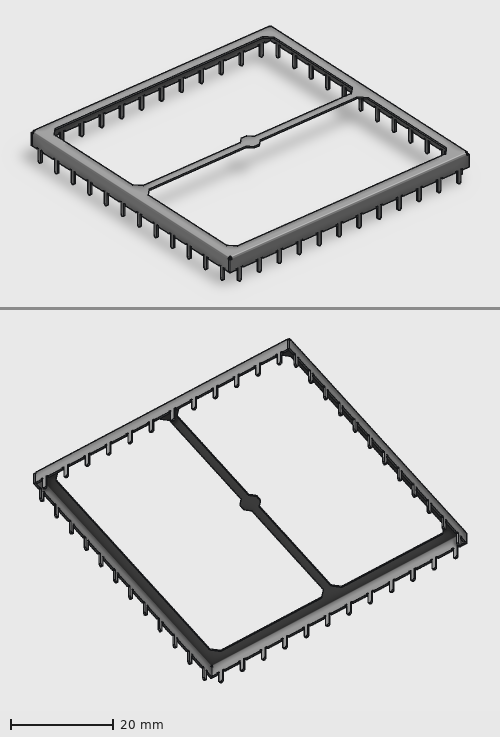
import cadquery as cq
import math

SIDE = 61.0
HEIGHT = 6.4
SHEET = 0.4
BEND_RADIUS = 0.55
INNER_BEND_RADIUS = BEND_RADIUS - SHEET
HALF = SIDE / 2

RIM_WIDTH = 2.5
BAR_WIDTH = 1.75
WINDOW_CHAMFER = 1.5
PAD_WIDTH = 3.95
PAD_CHAMFER = 1.3

WALL_DEPTH = 3.5
PIN_COUNT = 12
PIN_PITCH = SIDE / PIN_COUNT
PIN_WIDTH = 0.85
PIN_TIP_CHAMFER = 0.3
RELIEF_WIDTH = 0.35
RELIEF_DEPTH = 0.25
CORNER_GAP = 0.05

WALL_BOTTOM = HEIGHT - WALL_DEPTH
WALL_TOP = HEIGHT - BEND_RADIUS
PLATE_SIDE = SIDE - 2 * BEND_RADIUS
LONG_WALL = SIDE
SHORT_WALL = SIDE - 2 * (SHEET + CORNER_GAP)


def make_plate():
    """Flat top sheet with two windows, a middle bar and a pick-up pad."""
    plate = cq.Workplane("XY").box(PLATE_SIDE, PLATE_SIDE, SHEET, centered=(True, True, False))
    window_length = SIDE - 2 * RIM_WIDTH
    window_width = (window_length - BAR_WIDTH) / 2
    window_offset = (window_width + BAR_WIDTH) / 2
    windows = (
        cq.Workplane("XY")
        .pushPoints([(-window_offset, 0), (window_offset, 0)])
        .rect(window_width, window_length)
        .extrude(SHEET)
        .edges("|Z")
        .chamfer(WINDOW_CHAMFER)
    )
    pad = cq.Workplane("XY").rect(PAD_WIDTH, PAD_WIDTH).extrude(SHEET).edges("|Z").chamfer(PAD_CHAMFER)
    return plate.cut(windows).union(pad).translate((0, 0, HEIGHT - SHEET))


def make_bend():
    """Quarter-round fold along the -Y edge, as long as the flat plate."""
    centre_y = -HALF + BEND_RADIUS
    diagonal = math.sqrt(0.5)
    outer_mid = (centre_y - BEND_RADIUS * diagonal, WALL_TOP + BEND_RADIUS * diagonal)
    inner_mid = (centre_y - INNER_BEND_RADIUS * diagonal, WALL_TOP + INNER_BEND_RADIUS * diagonal)
    return (
        cq.Workplane("YZ")
        .moveTo(-HALF, WALL_TOP)
        .threePointArc(outer_mid, (centre_y, HEIGHT))
        .lineTo(centre_y, HEIGHT - SHEET)
        .threePointArc(inner_mid, (-HALF + SHEET, WALL_TOP))
        .close()
        .extrude(PLATE_SIDE / 2, both=True)
    )


def make_wall(length):
    """Upright wall on the -Y side with its row of pins."""
    half_pin = PIN_WIDTH / 2
    half_relief = half_pin + RELIEF_WIDTH
    half_tip = half_pin - PIN_TIP_CHAMFER
    relief_top = WALL_BOTTOM + RELIEF_DEPTH
    outline = [(-length / 2, WALL_TOP), (-length / 2, WALL_BOTTOM)]
    for index in range(PIN_COUNT):
        x = (index - (PIN_COUNT - 1) / 2) * PIN_PITCH
        outline += [
            (x - half_relief, WALL_BOTTOM),
            (x - half_relief, relief_top),
            (x - half_pin, relief_top),
            (x - half_pin, PIN_TIP_CHAMFER),
            (x - half_tip, 0),
            (x + half_tip, 0),
            (x + half_pin, PIN_TIP_CHAMFER),
            (x + half_pin, relief_top),
            (x + half_relief, relief_top),
            (x + half_relief, WALL_BOTTOM),
        ]
    outline += [(length / 2, WALL_BOTTOM), (length / 2, WALL_TOP)]
    wall = cq.Workplane("XZ").polyline(outline).close().extrude(SHEET)
    return wall.translate((0, -HALF + SHEET, 0))


result = make_plate()
for quarter_turn, wall_length in enumerate([SHORT_WALL, LONG_WALL, SHORT_WALL, LONG_WALL]):
    folded_side = make_bend().union(make_wall(wall_length))
    result = result.union(folded_side.rotate((0, 0, 0), (0, 0, 1), 90 * quarter_turn))